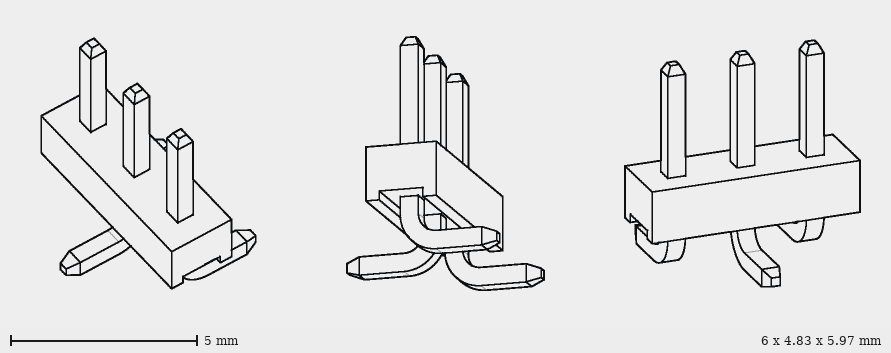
import cadquery as cq


pin_count = 3
housing_length = 6.0
housing_depth = 1.98
housing_height = 1.5
housing_bottom = 1.27
channel_width = 1.23
channel_height = 0.245
pin_size = 0.51
overall_height = 5.97
overall_depth = 4.83
post_tip_length = 0.25
foot_tip_length = 0.385

pitch = housing_length / pin_count
housing_top = housing_bottom + housing_height
half_pin = pin_size / 2
tip_size = pin_size / 2
inner_bend_radius = pin_size
outer_bend_radius = inner_bend_radius + pin_size
bend_center_y = half_pin + inner_bend_radius
post_end = overall_height - post_tip_length
foot_end = overall_depth / 2 - foot_tip_length
diagonal = 0.5 ** 0.5


def bend_midpoint(radius):
    """Middle point of a bend arc in the (Y, Z) plane."""
    return (bend_center_y - radius * diagonal, outer_bend_radius - radius * diagonal)


def tapered_tip(base_plane, length):
    """Square frustum that narrows from the pin section to the blunt end."""
    return (
        cq.Workplane(base_plane)
        .rect(pin_size, pin_size)
        .workplane(offset=length)
        .rect(tip_size, tip_size)
        .loft(ruled=True)
    )


def make_pin(x, foot_angle):
    """Bent pin at X, its foot pointing to +Y before turning by foot_angle about the post."""
    shank = (
        cq.Workplane("YZ", origin=(-half_pin, 0, 0))
        .moveTo(-half_pin, post_end)
        .lineTo(-half_pin, outer_bend_radius)
        .threePointArc(bend_midpoint(outer_bend_radius), (bend_center_y, 0))
        .lineTo(foot_end, 0)
        .lineTo(foot_end, pin_size)
        .lineTo(bend_center_y, pin_size)
        .threePointArc(bend_midpoint(inner_bend_radius), (half_pin, outer_bend_radius))
        .lineTo(half_pin, post_end)
        .close()
        .extrude(pin_size)
    )
    post_tip_plane = cq.Plane(origin=(0, 0, post_end), xDir=(1, 0, 0), normal=(0, 0, 1))
    foot_tip_plane = cq.Plane(origin=(0, foot_end, half_pin), xDir=(1, 0, 0), normal=(0, 1, 0))
    pin = (
        shank
        .union(tapered_tip(post_tip_plane, post_tip_length))
        .union(tapered_tip(foot_tip_plane, foot_tip_length))
    )
    return pin.rotate((0, 0, 0), (0, 0, 1), foot_angle).translate((x, 0, 0))


def make_housing(hole_positions):
    """Block with a channel along its underside and square through holes for separate pins."""
    block = (
        cq.Workplane("XY", origin=(0, 0, housing_bottom))
        .rect(housing_length, housing_depth)
        .extrude(housing_height)
    )
    channel = (
        cq.Workplane("XY", origin=(0, 0, housing_bottom))
        .rect(housing_length, channel_width)
        .extrude(channel_height)
    )
    holes = (
        cq.Workplane("XY", origin=(0, 0, housing_bottom))
        .pushPoints([(x, 0) for x in hole_positions])
        .rect(pin_size, pin_size)
        .extrude(housing_height)
    )
    return block.cut(channel).cut(holes)


outer_pin_positions = [-pitch, pitch]
centre_pin = make_pin(0, 180)
housing = make_housing(outer_pin_positions).union(centre_pin)

outer_pins = [make_pin(x, 0) for x in outer_pin_positions]

result = cq.Compound.makeCompound([
    housing.solids().val(),
    *[pin.solids().val() for pin in outer_pins],
])